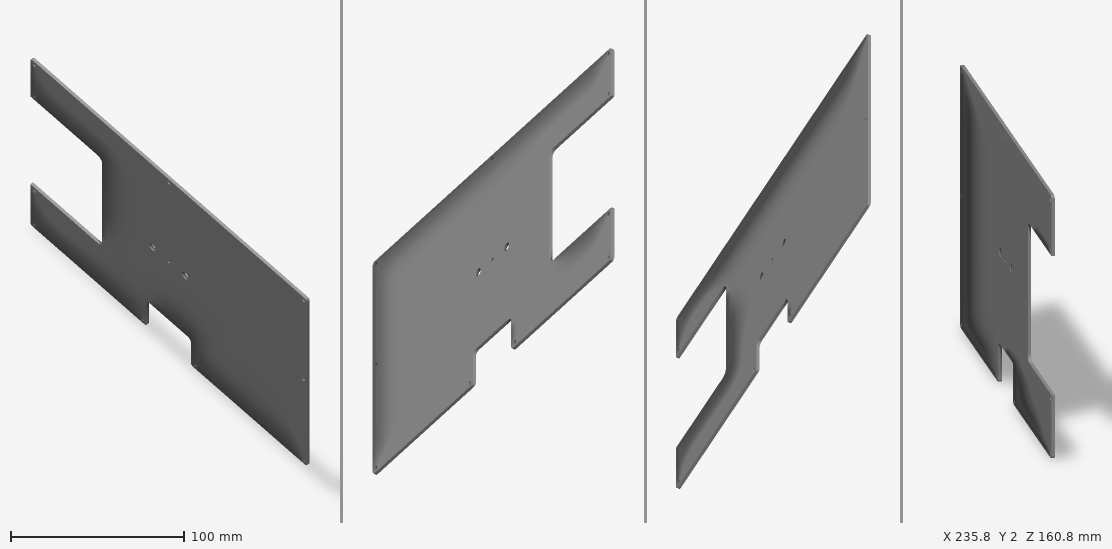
import cadquery as cq

length = 235.8
height = 160.8
thickness = 2.0
corner_radius = 2.0

side_notch_depth = 61.0
side_notch_top_gap = 36.8
side_notch_bottom_gap = 39.1
side_notch_radius = 4.0

bottom_notch_width = 37.7
bottom_notch_height = 24.8
bottom_notch_radius = 3.0

screw_diameter = 2.5
screw_inset = 3.0
notch_screw_inset = 3.5
pivot_diameter = 5.5
pivot_spacing = 27.8
centre_row_z = 1.0

left, right = -length / 2, length / 2
bottom, top = -height / 2, height / 2
side_notch_top = top - side_notch_top_gap
side_notch_bottom = bottom + side_notch_bottom_gap


def block(x_min, x_max, z_min, z_max):
    """Rectangular block through the plate thickness, centred on Y = 0."""
    x_size = x_max - x_min
    z_size = z_max - z_min
    middle = ((x_min + x_max) / 2, 0, (z_min + z_max) / 2)
    return cq.Workplane("XY").box(x_size, thickness, z_size).translate(middle)


def holes(diameter, points):
    """Round cutters through the plate at the given (x, z) points."""
    return (
        cq.Workplane("XZ")
        .pushPoints(points)
        .circle(diameter / 2)
        .extrude(thickness, both=True)
    )


plate = block(left, right, bottom, top).edges("|Y").fillet(corner_radius)

side_notch = block(left, left + side_notch_depth, side_notch_bottom, side_notch_top)
plate = plate.cut(side_notch.edges("|Y and >X").fillet(side_notch_radius))

half_notch = bottom_notch_width / 2
bottom_notch = block(-half_notch, half_notch, bottom, bottom + bottom_notch_height)
plate = plate.cut(bottom_notch.edges("|Y and >Z").fillet(bottom_notch_radius))
for mouth_x in (-half_notch, half_notch):
    mouth_corner = cq.selectors.NearestToPointSelector((mouth_x, 0, bottom))
    plate = plate.edges(mouth_corner).fillet(corner_radius)

screw_left = left + screw_inset
screw_right = right - screw_inset
screw_bottom = bottom + screw_inset
screw_top = top - screw_inset
notch_screw_x = half_notch + notch_screw_inset
screw_points = [
    (screw_left, screw_top),
    (0, screw_top),
    (screw_right, screw_top),
    (screw_left, side_notch_top + screw_inset),
    (screw_left, side_notch_bottom - screw_inset),
    (screw_left, screw_bottom),
    (-notch_screw_x, screw_bottom),
    (notch_screw_x, screw_bottom),
    (screw_right, screw_bottom),
    (screw_right, centre_row_z),
    (0, centre_row_z),
]
plate = plate.cut(holes(screw_diameter, screw_points))

pivot_points = [(side * pivot_spacing / 2, centre_row_z) for side in (-1, 1)]
result = plate.cut(holes(pivot_diameter, pivot_points))